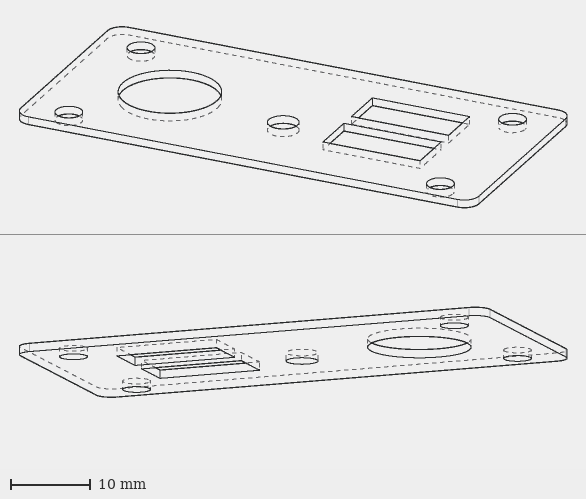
import cadquery as cq

length = 63.5
width = 30.0
thickness = 1.1
corner_radius = 2.05

mount_diameter = 3.5
mount_spacing_x = 51.5
mount_spacing_y = 21.5
mount_center_y = -0.75

large_diameter = 13.0
large_center = (-16.8, -0.6)
small_diameter = 4.0
small_center = (0, -3.0)

window_length = 13.45
window_height = 6.2
window_pitch = 8.5
window_center_x = 13.8
upper_window_y = 5.35


def cut_round(plate, diameter, centers):
    """Cut through holes of one diameter at the given XY centres."""
    return plate.faces(">Z").workplane(origin=(0, 0, 0)).pushPoints(centers).hole(diameter)


plate = cq.Workplane("XY").box(length, width, thickness).edges("|Z").fillet(corner_radius)

mount_centers = [
    (side_x * mount_spacing_x / 2, mount_center_y + side_y * mount_spacing_y / 2)
    for side_x in (-1, 1)
    for side_y in (-1, 1)
]
plate = cut_round(plate, mount_diameter, mount_centers)
plate = cut_round(plate, large_diameter, [large_center])
plate = cut_round(plate, small_diameter, [small_center])

window_centers = [(window_center_x, upper_window_y - row * window_pitch) for row in range(2)]
windows = (
    cq.Workplane("XY")
    .pushPoints(window_centers)
    .box(window_length, window_height, 2 * thickness)
)
result = plate.cut(windows)